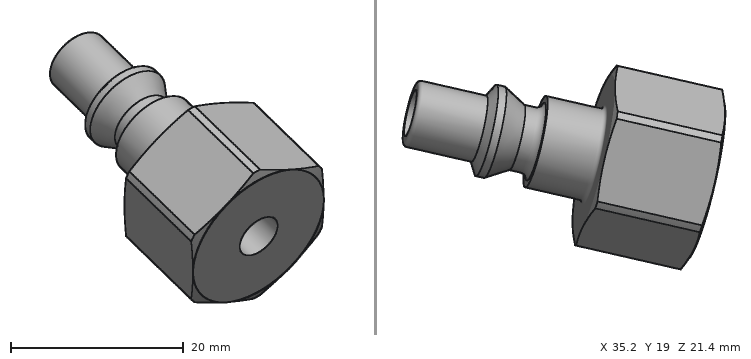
import cadquery as cq
import math

total_length = 35.25
bore_diameter = 5.5

tip_radius = 7.9 / 2
tip_rounding = 0.5
tip_end = 8.2

collar_radius = 10.9 / 2
collar_front_angle = 60.0
collar_land = 1.0
collar_back_angle = 30.0

neck_radius = 7.8 / 2
neck_fillet = 1.0
neck_fillet_length = 0.95
shank_radius = collar_radius
shank_start = 15.0
shank_fillet = 0.5

hex_start = 22.0
across_flats = 19.0
across_corners = 21.4
bevel_angle = 15.0
end_rim = 0.07
end_rim_radius = across_flats / 2


def cone_length(small_radius, large_radius, slope):
    """Axial length of a cone whose side rises at the given slope in degrees."""
    return (large_radius - small_radius) / math.tan(math.radians(slope))


def make_plug():
    """Turned nose, collar, neck and shank, revolved about X."""
    land_start = tip_end + cone_length(tip_radius, collar_radius, collar_front_angle)
    land_end = land_start + collar_land
    neck_start = land_end + cone_length(neck_radius, collar_radius, collar_back_angle)
    neck_end = shank_start - neck_fillet_length

    sweep = math.asin(neck_fillet_length / neck_fillet)

    def neck_arc_point(angle):
        x = neck_end + neck_fillet * math.sin(angle)
        radius = neck_radius + neck_fillet * (1 - math.cos(angle))
        return x, radius

    profile = (
        cq.Workplane("XY")
        .lineTo(0, tip_radius - tip_rounding)
        .radiusArc((tip_rounding, tip_radius), tip_rounding)
        .lineTo(tip_end, tip_radius)
        .lineTo(land_start, collar_radius)
        .lineTo(land_end, collar_radius)
        .lineTo(neck_start, neck_radius)
        .lineTo(neck_end, neck_radius)
        .threePointArc(neck_arc_point(sweep / 2), neck_arc_point(sweep))
        .lineTo(shank_start, shank_radius)
        .lineTo(hex_start - shank_fillet, shank_radius)
        .radiusArc((hex_start, shank_radius + shank_fillet), -shank_fillet)
        .lineTo(total_length, shank_radius + shank_fillet)
        .lineTo(total_length, 0)
        .close()
    )
    return profile.revolve(360, (0, 0, 0), (1, 0, 0))


def make_hexagon():
    """Hexagonal prism with corners along Z, trimmed by a bevelled round blank."""
    flat_radius = across_flats / 2
    corner_radius = across_corners / 2
    bevel_length = (corner_radius - flat_radius) * math.tan(math.radians(bevel_angle))
    rim_start = total_length - end_rim

    prism = (
        cq.Workplane("YZ", origin=(hex_start, 0, 0))
        .polygon(6, across_flats, circumscribed=True)
        .extrude(total_length - hex_start)
    )
    blank = (
        cq.Workplane("XY")
        .moveTo(hex_start, 0)
        .lineTo(hex_start, flat_radius)
        .lineTo(hex_start + bevel_length, corner_radius)
        .lineTo(rim_start - bevel_length, corner_radius)
        .lineTo(rim_start, end_rim_radius)
        .lineTo(total_length, end_rim_radius)
        .lineTo(total_length, 0)
        .close()
        .revolve(360, (0, 0, 0), (1, 0, 0))
    )
    return prism.intersect(blank)


bore = cq.Workplane("YZ").circle(bore_diameter / 2).extrude(total_length)

result = make_plug().union(make_hexagon()).cut(bore)